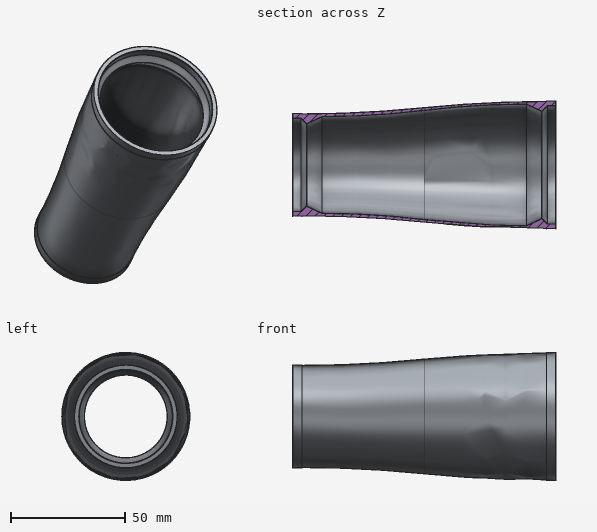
import cadquery as cq
import math

length = 115.0
small_radius = 22.5
large_radius = 56.0 / 2
collar_length = 4.0
collar_step = 0.17
wall = 1.3

mouth_chamfer = 0.2
socket_depth = 3.7
socket_wall = 2.2
neck_start = 6.0
neck_end = 6.3
neck_wall = 4.5
flare_end = 12.9


def add_s_curve(outline, start, end):
    """Draw two tangent arcs that leave and arrive parallel to the axis."""
    half_run = (end[0] - start[0]) / 2
    half_rise = (end[1] - start[1]) / 2
    arc_radius = (half_run**2 + half_rise**2) / (2 * abs(half_rise))
    quarter_rise = arc_radius - math.sqrt(arc_radius**2 - (half_run / 2) ** 2)
    quarter_rise = math.copysign(quarter_rise, half_rise)
    centre = (start[0] + half_run, start[1] + half_rise)
    first_arc_point = (start[0] + half_run / 2, start[1] + quarter_rise)
    second_arc_point = (end[0] - half_run / 2, end[1] - quarter_rise)
    return outline.threePointArc(first_arc_point, centre).threePointArc(second_arc_point, end)


def end_profile(collar_radius):
    """Return (distance from the end face, radius) from wall outside to wall inside."""
    socket_radius = collar_radius - socket_wall
    neck_radius = collar_radius - neck_wall
    return [
        (collar_length, collar_radius - collar_step),
        (collar_length, collar_radius),
        (0, collar_radius),
        (0, socket_radius + mouth_chamfer),
        (mouth_chamfer, socket_radius),
        (socket_depth, socket_radius),
        (neck_start, neck_radius),
        (neck_end, neck_radius),
        (flare_end, collar_radius - collar_step - wall),
    ]


small_end = end_profile(small_radius)
large_end = [(length - depth, radius) for depth, radius in end_profile(large_radius)]

section = cq.Workplane("XY").polyline(small_end)
section = add_s_curve(section, small_end[-1], large_end[-1])
for point in reversed(large_end[:-1]):
    section = section.lineTo(*point)
section = add_s_curve(section, large_end[0], small_end[0]).close()

result = section.revolve(360, (0, 0, 0), (1, 0, 0))